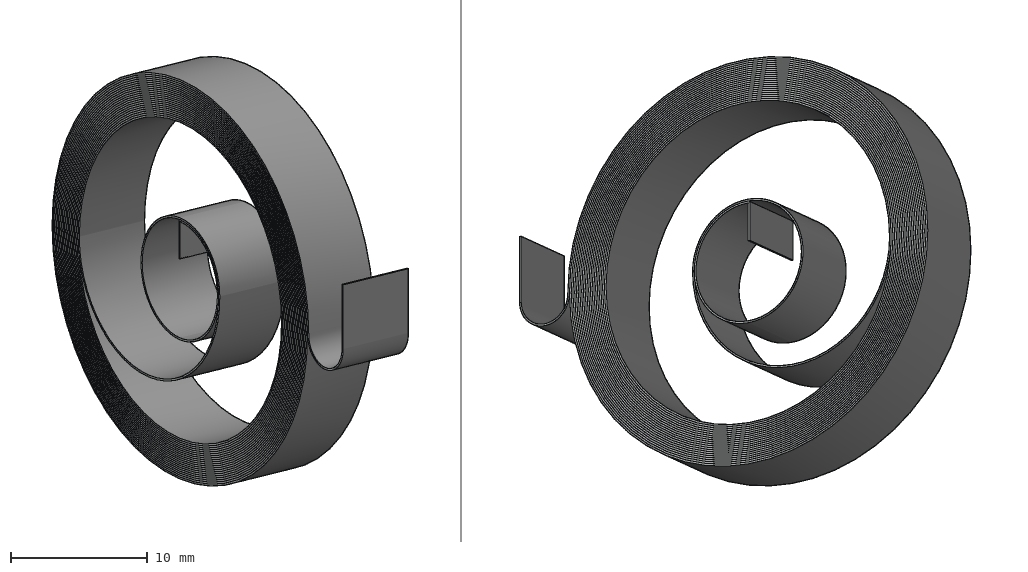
import cadquery as cq
import math

overall_length = 35.15
strip_width = 6.0
strip_thickness = 0.148
turn_clearance = 0.0025
pitch = strip_thickness + turn_clearance

core_radius = 4.5
stem_end_height = 1.6

coil_radius = 12.15
upper_half_turns = 22

hook_straight_length = 5.0

RIGHT = 0
TOP = 90
LEFT = 180
BOTTOM = 270


def bend(center_x, center_z, inside_radius, start, end):
    """One circular stretch of strip; a falling angle bends clockwise."""
    return center_x, center_z, inside_radius, start, end


def core_bends():
    """One full turn around the core plus a quarter turn lying on top of it."""
    return [
        bend(0, 0, core_radius, TOP, BOTTOM - 360),
        bend(0, pitch / 2, core_radius + pitch / 2, BOTTOM, TOP),
        bend(0, 0, core_radius + pitch, TOP, RIGHT),
    ]


def crossover_bend():
    """Half circle under the axis, from the core's +X side to the coil's -X side."""
    core_side = core_radius + pitch
    return bend((core_side - coil_radius) / 2, 0, (core_side + coil_radius) / 2, RIGHT, LEFT - 360)


def coil_bends():
    """Half circles about two alternating centres, each growing by half a pitch."""
    bends = []
    for half_turn in range(2 * upper_half_turns - 1):
        is_upper = half_turn % 2 == 0
        center_x = pitch / 4 if is_upper else -pitch / 4
        inside_radius = coil_radius + pitch / 4 + half_turn * pitch / 2
        if is_upper:
            bends.append(bend(center_x, 0, inside_radius, LEFT, RIGHT))
        else:
            bends.append(bend(center_x, 0, inside_radius, RIGHT, LEFT - 360))
    return bends


coil_left_face = coil_radius + (upper_half_turns - 1) * pitch + strip_thickness
hook_left_face = coil_radius + (upper_half_turns - 0.5) * pitch
hook_right_face = overall_length - coil_left_face
hook_center_x = (hook_left_face + hook_right_face) / 2
hook_inside_radius = (hook_right_face - hook_left_face) / 2 - strip_thickness


def hook_bend():
    """Half circle turning the other way, from the coil's end up to the straight end."""
    return bend(hook_center_x, 0, hook_inside_radius, LEFT, RIGHT + 360)


def point_on_arc(center_x, center_z, radius, angle):
    angle = math.radians(angle)
    return center_x + radius * math.cos(angle), center_z + radius * math.sin(angle)


def follow_face(outline, bends, on_left, backwards):
    """Add the arcs of one strip face, from last to first if backwards.

    Left and right are seen along the winding direction.
    """
    ordered_bends = reversed(bends) if backwards else bends
    for center_x, center_z, inside_radius, start, end in ordered_bends:
        is_clockwise = end < start
        radius = inside_radius + (strip_thickness if on_left == is_clockwise else 0)
        middle = point_on_arc(center_x, center_z, radius, (start + end) / 2)
        finish = point_on_arc(center_x, center_z, radius, start if backwards else end)
        outline = outline.threePointArc(middle, finish)
    return outline


def strip_outline():
    bends = core_bends() + [crossover_bend()] + coil_bends() + [hook_bend()]
    stem_bend_middle = point_on_arc(0, core_radius, strip_thickness, (TOP + LEFT) / 2)

    outline = cq.Workplane("XZ").moveTo(0, stem_end_height).lineTo(-strip_thickness, stem_end_height)
    outline = outline.lineTo(-strip_thickness, core_radius)
    outline = outline.threePointArc(stem_bend_middle, (0, core_radius + strip_thickness))

    outline = follow_face(outline, bends, on_left=True, backwards=False)
    outline = outline.lineTo(hook_right_face - strip_thickness, hook_straight_length)
    outline = outline.lineTo(hook_right_face, hook_straight_length)
    outline = outline.lineTo(hook_right_face, 0)
    outline = follow_face(outline, bends, on_left=False, backwards=True)
    return outline.close()


result = strip_outline().extrude(strip_width / 2, both=True)